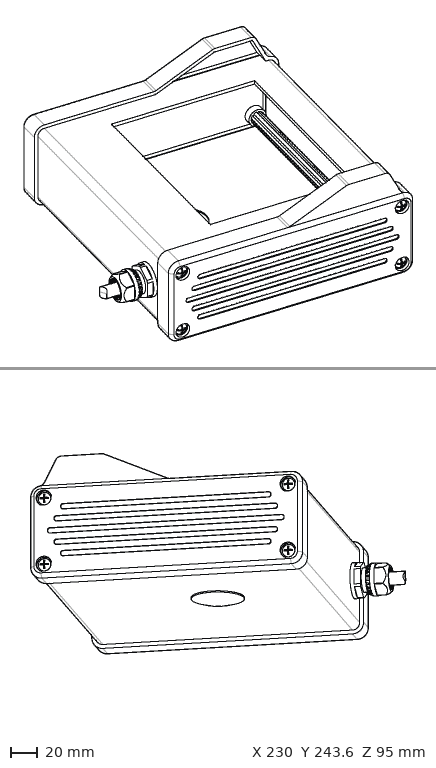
import cadquery as cq
import math

OVERALL_WIDTH = 230.0
OVERALL_HEIGHT = 95.0
OVERALL_DEPTH = 243.61

BOX_DEPTH = 200.8
BOX_HEIGHT = 65.0
BOX_BOTTOM = 5.0
BOX_CORNER_RADIUS = 5.5
WALL = 3.0
BOX_TOP = BOX_BOTTOM + BOX_HEIGHT
BOX_MID_Z = BOX_BOTTOM + BOX_HEIGHT / 2
BOX_END_X = 105.0

CAP_OVERHANG = 3.0
CAP_THICKNESS = 19.5
CAP_CHAMFER = 3.2
CAP_POCKET_END_X = 109.5
CAP_POCKET_CLEARANCE = 0.5
CAP_DEPTH = BOX_DEPTH + 2 * CAP_OVERHANG
CAP_HEIGHT = BOX_HEIGHT + 2 * CAP_OVERHANG
CAP_CORNER_RADIUS = BOX_CORNER_RADIUS + CAP_OVERHANG
CAP_TOP = BOX_TOP + CAP_OVERHANG
CAP_OUTER_X = OVERALL_WIDTH / 2
CAP_INNER_X = CAP_OUTER_X - CAP_THICKNESS
CAP_RIM_X = CAP_OUTER_X - CAP_CHAMFER

HANDLE_REAR_Y = 83.0
HANDLE_FRONT_Y = 48.4
HANDLE_TOE_Y = -1.4
HANDLE_REAR_ANGLE = 63.0
HANDLE_EDGE_RADIUS = 5.0
HANDLE_WALL = 3.0
BLEND_ZONE_REACH = 2.5
SEAM_TOLERANCE = 1e-4

GROOVE_LENGTHS = (160.0, 170.0, 180.0, 170.0, 160.0)
GROOVE_PITCH = 9.0
GROOVE_WIDTH = 4.0
GROOVE_DEPTH = 1.0
SCREW_Y = 92.8
SCREW_Z_OFFSET = 25.4
SCREW_HOLE_DIAMETER = 11.5
SCREW_HOLE_DEPTH = 3.0
SCREW_HEAD_DIAMETER = 9.5
SCREW_HEAD_HEIGHT = 2.5
SCREW_CROSS_LENGTH = 6.5
SCREW_CROSS_WIDTH = 0.8
SCREW_CROSS_DEPTH = 1.5

WINDOW_WIDTH = 153.0
WINDOW_REAR_Y = 72.5
WINDOW_FRONT_Y = -48.5

LENS_X = -17.5
LENS_Y = -17.8
LENS_RADIUS = 19.8
LENS_CROWN = 4.0
LENS_RECESSES = ((17.2, 1.0), (10.7, 2.0), (9.5, 3.0))

COLLAR_RADIUS = 7.3
COLLAR_LENGTH = 6.0
COLLAR_CLEARANCE = 0.2
ROD_RADIUS = 5.5
ROD_FLUTES = 8
ROD_FLUTE_RADIUS = 0.8
ROD_Y = BOX_DEPTH / 2 - WALL - COLLAR_CLEARANCE - COLLAR_RADIUS
ROD_Z = BOX_BOTTOM + WALL + COLLAR_CLEARANCE + COLLAR_RADIUS

GLAND_X = 76.0
GLAND_FLANGE_RADIUS = 13.5
GLAND_FLANGE_END = 3.0
GLAND_NUT_FLATS = 24.4
GLAND_NUT_END = 7.6
GLAND_NECK_RADIUS = 9.2
GLAND_NECK_END = 11.2
GLAND_TEETH_RADIUS = 10.8
GLAND_TEETH_COUNT = 24
GLAND_TEETH_SLOT = 1.2
GLAND_RING_START = 14.5
GLAND_RING_RADIUS = 12.3
GLAND_RING_END = 17.9
GLAND_CAP_FLATS = 21.6
GLAND_CAP_HEX_END = 24.6
GLAND_CAP_END = 28.3
GLAND_CAP_TIP_RADIUS = 9.7
GLAND_SEAL_STEPS = ((8.2, 0.8), (7.0, 1.6), (6.0, 2.4))
CABLE_RADIUS = 5.0
CABLE_END = OVERALL_DEPTH - CAP_DEPTH / 2 - BOX_DEPTH / 2
CABLE_BREAK_WAVE = 1.4


def rounded_bar(x_start, x_end, depth, height, radius):
    """Bar along X with a rounded rectangular section centred on the box axis."""
    bar = cq.Workplane("XY").box(x_end - x_start, depth, height)
    bar = bar.edges("|X").fillet(radius)
    return bar.translate(((x_start + x_end) / 2, 0, BOX_MID_Z))


def x_cylinder(x_start, x_end, radius, y, z):
    """Cylinder along X."""
    return cq.Workplane("YZ", origin=(x_start, y, z)).circle(radius).extrude(x_end - x_start)


def domed_disc(radius, crown, base_height):
    """Spherical crown on the XY plane facing +Z, with a cylindrical base below the plane."""
    sphere_radius = (radius ** 2 + crown ** 2) / (2 * crown)
    mid_radius = radius / 2
    mid_z = crown - sphere_radius + math.sqrt(sphere_radius ** 2 - mid_radius ** 2)
    outline = cq.Workplane("XZ").moveTo(0, crown).threePointArc((mid_radius, mid_z), (radius, 0))
    if base_height > 0:
        outline = outline.lineTo(radius, -base_height)
    return outline.lineTo(0, -base_height).close().revolve(360, (0, 0, 0), (0, 1, 0))


def handle_outline(root_z):
    """Handle profile on the inner side of the cap, with both slopes carried down to root_z."""
    rear_run = (OVERALL_HEIGHT - root_z) / math.tan(math.radians(HANDLE_REAR_ANGLE))
    front_run_per_rise = (HANDLE_FRONT_Y - HANDLE_TOE_Y) / (OVERALL_HEIGHT - CAP_TOP)
    corners = [
        (HANDLE_FRONT_Y - (OVERALL_HEIGHT - root_z) * front_run_per_rise, root_z),
        (HANDLE_FRONT_Y, OVERALL_HEIGHT),
        (HANDLE_REAR_Y, OVERALL_HEIGHT),
        (HANDLE_REAR_Y + rear_run, root_z),
    ]
    return cq.Workplane("YZ", origin=(CAP_INNER_X, 0, 0)).polyline(corners).close()


def handle():
    """Handle hump, rooted at the box top so that it blends into the cap."""
    return handle_outline(BOX_TOP).extrude(CAP_RIM_X - CAP_INNER_X)


def handle_hollow(floor_z):
    """Hollow of the handle, open towards the middle of the housing."""
    outline = handle_outline(floor_z - HANDLE_WALL).offset2D(-HANDLE_WALL)
    return outline.extrude(CAP_POCKET_END_X - CAP_INNER_X)


def cap_rim():
    """Straight part of the cap with the handle blended on.

    All edges along X around the handle are rounded, except the smooth seam where
    the cap top runs into its rear corner arc.
    """
    rim = rounded_bar(CAP_INNER_X, CAP_RIM_X, CAP_DEPTH, CAP_HEIGHT, CAP_CORNER_RADIUS)
    rim = rim.union(handle())
    reach = BLEND_ZONE_REACH
    blend_zone = cq.selectors.BoxSelector(
        (CAP_INNER_X, HANDLE_TOE_Y - reach, CAP_TOP - reach),
        (CAP_RIM_X, CAP_DEPTH / 2 - reach, OVERALL_HEIGHT + reach),
    )
    seam_y = CAP_DEPTH / 2 - CAP_CORNER_RADIUS
    sharp_edges = rim.edges("|X").edges(blend_zone)
    sharp_edges = sharp_edges.filter(lambda edge: abs(edge.Center().y - seam_y) > SEAM_TOLERANCE)
    return sharp_edges.fillet(HANDLE_EDGE_RADIUS)


def screw_positions():
    return [(y, BOX_MID_Z + z) for y in (-SCREW_Y, SCREW_Y) for z in (-SCREW_Z_OFFSET, SCREW_Z_OFFSET)]


def cap_screw(y, z):
    """Cross-head screw standing on the bottom of its counterbore."""
    seat_x = CAP_OUTER_X - SCREW_HOLE_DEPTH
    head = domed_disc(SCREW_HEAD_DIAMETER / 2, SCREW_HEAD_HEIGHT, 0)
    head = head.rotate((0, 0, 0), (0, 1, 0), 90).translate((seat_x, y, z))
    cross_plane = cq.Workplane("YZ", origin=(seat_x + SCREW_HEAD_HEIGHT, y, z))
    for length_y, length_z in (
        (SCREW_CROSS_LENGTH, SCREW_CROSS_WIDTH),
        (SCREW_CROSS_WIDTH, SCREW_CROSS_LENGTH),
    ):
        head = head.cut(cross_plane.rect(length_y, length_z).extrude(-SCREW_CROSS_DEPTH))
    return head


def end_cap():
    """Cap for the +X end: rim with handle, chamfered face, grooves, screws and pocket."""
    face = rounded_bar(CAP_INNER_X, CAP_OUTER_X, CAP_DEPTH, CAP_HEIGHT, CAP_CORNER_RADIUS)
    face = face.faces(">X").edges().chamfer(CAP_CHAMFER)
    cap = face.union(cap_rim())

    for row, length in enumerate(GROOVE_LENGTHS):
        z = BOX_MID_Z + (row - (len(GROOVE_LENGTHS) - 1) / 2) * GROOVE_PITCH
        groove = cq.Workplane("YZ", origin=(CAP_OUTER_X, 0, z)).slot2D(length, GROOVE_WIDTH)
        cap = cap.cut(groove.extrude(-GROOVE_DEPTH))

    pocket = rounded_bar(
        CAP_INNER_X,
        CAP_POCKET_END_X,
        BOX_DEPTH - 2 * WALL + 2 * CAP_POCKET_CLEARANCE,
        BOX_HEIGHT - 2 * WALL + 2 * CAP_POCKET_CLEARANCE,
        BOX_CORNER_RADIUS - WALL + CAP_POCKET_CLEARANCE,
    )
    cap = cap.cut(pocket).cut(handle_hollow(BOX_TOP - CAP_POCKET_CLEARANCE))

    for y, z in screw_positions():
        counterbore = x_cylinder(CAP_OUTER_X - SCREW_HOLE_DEPTH, CAP_OUTER_X, SCREW_HOLE_DIAMETER / 2, y, z)
        cap = cap.cut(counterbore).union(cap_screw(y, z))
    return cap


def box_tube():
    """Hollow box, open at both ends, with the window in its top wall."""
    tube = rounded_bar(-BOX_END_X, BOX_END_X, BOX_DEPTH, BOX_HEIGHT, BOX_CORNER_RADIUS)
    bore = rounded_bar(
        -BOX_END_X,
        BOX_END_X,
        BOX_DEPTH - 2 * WALL,
        BOX_HEIGHT - 2 * WALL,
        BOX_CORNER_RADIUS - WALL,
    )
    window = (
        cq.Workplane("XY", origin=(0, (WINDOW_REAR_Y + WINDOW_FRONT_Y) / 2, BOX_TOP))
        .rect(WINDOW_WIDTH, WINDOW_REAR_Y - WINDOW_FRONT_Y)
        .extrude(-2 * WALL)
    )
    return tube.cut(bore).cut(window)


def lens():
    """Shallow spherical crown under the floor, on a short cylindrical base."""
    crown = domed_disc(LENS_RADIUS, LENS_CROWN, BOX_BOTTOM - LENS_CROWN)
    return crown.rotate((0, 0, 0), (1, 0, 0), 180).translate((LENS_X, LENS_Y, LENS_CROWN))


def lens_recess():
    """Stepped round recess in the floor above the lens."""
    floor = cq.Workplane("XY", origin=(LENS_X, LENS_Y, BOX_BOTTOM + WALL))
    recess = cq.Workplane("XY")
    for radius, depth in LENS_RECESSES:
        recess = recess.add(floor.circle(radius).extrude(-depth))
    return recess.combine()


def rod():
    """Fluted rod with a collar against each end cap."""
    bar = x_cylinder(-CAP_POCKET_END_X, CAP_POCKET_END_X, ROD_RADIUS, ROD_Y, ROD_Z)
    flutes = (
        cq.Workplane("YZ", origin=(-CAP_POCKET_END_X, ROD_Y, ROD_Z))
        .polarArray(ROD_RADIUS, 0, 360, ROD_FLUTES)
        .circle(ROD_FLUTE_RADIUS)
        .extrude(2 * CAP_POCKET_END_X)
    )
    bar = bar.cut(flutes)
    collar_start = CAP_POCKET_END_X - COLLAR_LENGTH
    collar = x_cylinder(collar_start, CAP_POCKET_END_X, COLLAR_RADIUS, ROD_Y, ROD_Z)
    return bar.union(collar).union(collar.mirror("YZ"))


def build_housing():
    cap = end_cap()
    housing = box_tube().union(cap).union(cap.mirror("YZ"))
    return housing.union(lens()).cut(lens_recess()).union(rod())


def gland_plane(station):
    """Sketch plane facing out of the front wall at a distance from it; local x is X, y is Z."""
    return cq.Workplane("XZ", origin=(GLAND_X, -BOX_DEPTH / 2 - station, BOX_MID_Z))


def gland_round(start, end, radius):
    return gland_plane(start).circle(radius).extrude(end - start)


def gland_hex(start, end, flats):
    """Hexagon with two corners pointing up and down."""
    corners = flats / math.cos(math.radians(30))
    return gland_plane(start).transformed(rotate=(0, 0, 90)).polygon(6, corners).extrude(end - start)


def gland_cone(start, end, start_radius, end_radius):
    return gland_plane(start).circle(start_radius).workplane(offset=end - start).circle(end_radius).loft()


def gland_teeth():
    """Slotted cone between the neck and the ring."""
    cone = gland_cone(GLAND_NECK_END, GLAND_RING_START, GLAND_TEETH_RADIUS, GLAND_RING_RADIUS)
    slots = (
        gland_plane(GLAND_NECK_END)
        .polarArray(GLAND_RING_RADIUS, 0, 360, GLAND_TEETH_COUNT)
        .rect(2 * (GLAND_RING_RADIUS - GLAND_NECK_RADIUS - GLAND_TEETH_SLOT), GLAND_TEETH_SLOT)
        .extrude(GLAND_RING_START - GLAND_NECK_END)
    )
    return cone.cut(slots)


def gland_cap():
    """Hexagonal clamping cap tapering towards the cable."""
    hexagon = gland_hex(GLAND_RING_END, GLAND_CAP_END, GLAND_CAP_FLATS)
    envelope = gland_round(GLAND_RING_END, GLAND_CAP_HEX_END, GLAND_RING_RADIUS)
    taper = gland_cone(GLAND_CAP_HEX_END, GLAND_CAP_END, GLAND_RING_RADIUS, GLAND_CAP_TIP_RADIUS)
    clamp = hexagon.intersect(envelope.union(taper))
    for radius, depth in GLAND_SEAL_STEPS:
        clamp = clamp.cut(gland_round(GLAND_CAP_END - depth, GLAND_CAP_END, radius))
    return clamp


def cable():
    """Cable stub ending in an S-shaped break line."""
    end_y = -BOX_DEPTH / 2 - CABLE_END
    mid_y = end_y + CABLE_BREAK_WAVE
    break_line = [
        (GLAND_X - CABLE_RADIUS / 2, end_y),
        (GLAND_X, mid_y),
        (GLAND_X + CABLE_RADIUS / 2, mid_y + CABLE_BREAK_WAVE),
        (GLAND_X + CABLE_RADIUS, mid_y),
    ]
    outline = (
        cq.Workplane("XY")
        .moveTo(GLAND_X - CABLE_RADIUS, -BOX_DEPTH / 2)
        .lineTo(GLAND_X - CABLE_RADIUS, mid_y)
        .spline(break_line, includeCurrent=True)
        .lineTo(GLAND_X + CABLE_RADIUS, -BOX_DEPTH / 2)
        .close()
        .extrude(CABLE_RADIUS, both=True)
        .translate((0, 0, BOX_MID_Z))
    )
    return gland_round(0, CABLE_END, CABLE_RADIUS).intersect(outline)


def build_cable_gland():
    nut = gland_hex(GLAND_FLANGE_END, GLAND_NUT_END, GLAND_NUT_FLATS)
    nut = nut.intersect(gland_round(GLAND_FLANGE_END, GLAND_NUT_END, GLAND_FLANGE_RADIUS))
    return (
        gland_round(0, GLAND_FLANGE_END, GLAND_FLANGE_RADIUS)
        .union(nut)
        .union(gland_round(GLAND_NUT_END, GLAND_NECK_END, GLAND_NECK_RADIUS))
        .union(gland_teeth())
        .union(gland_round(GLAND_RING_START, GLAND_RING_END, GLAND_RING_RADIUS))
        .union(gland_cap())
        .union(cable())
    )


housing = build_housing()
cable_gland = build_cable_gland()
result = cq.Compound.makeCompound([housing.val(), cable_gland.val()])